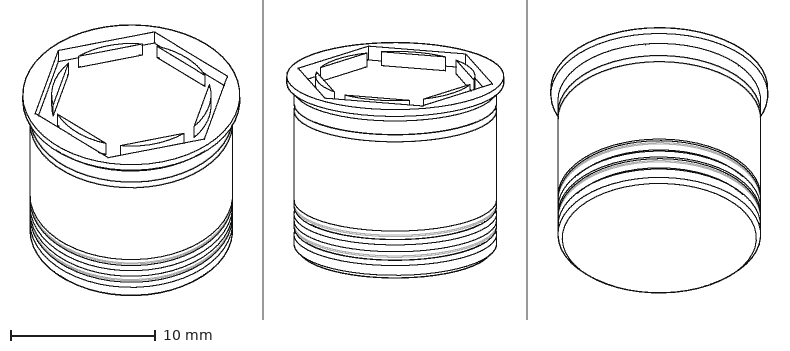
import cadquery as cq
import math

height = 12.5
flange_radius = 7.5
body_radius = 7.0
flange_rim = 0.5
flange_cone = flange_radius - body_radius
bottom_chamfer = 0.3

relief_radius = 0.25
relief_depth = 0.3
relief_z = 10.25

ring_height = 0.7
ring_thickness = 0.75
ring_round = 0.3
groove_flare = 0.3
first_ring_bottom = 1.3
ring_pitch = 1.5
ring_count = 2
ring_bottoms = [first_ring_bottom + i * ring_pitch for i in range(ring_count)]
ring_inner_radius = body_radius - ring_thickness

pocket_flats = 12.0
pocket_depth = 1.0
segment_radius = 5.5
segment_flats = 10.0
hex_sides = 6


def hexagon(across_flats, bottom, depth):
    """Hexagonal prism with two corners on the Y axis."""
    across_corners = across_flats / math.cos(math.pi / hex_sides)
    prism = cq.Workplane("XY").polygon(hex_sides, across_corners).extrude(depth)
    return prism.rotate((0, 0, 0), (0, 0, 1), 180 / hex_sides).translate((0, 0, bottom))


def make_blank():
    """Turned plug with a conical flange and a chamfered bottom edge."""
    profile = (
        cq.Workplane("XZ")
        .lineTo(body_radius - bottom_chamfer, 0)
        .lineTo(body_radius, bottom_chamfer)
        .lineTo(body_radius, height - flange_rim - flange_cone)
        .lineTo(flange_radius, height - flange_rim)
        .lineTo(flange_radius, height)
        .lineTo(0, height)
        .close()
    )
    return profile.revolve(360, (0, 0, 0), (0, 1, 0))


def make_relief():
    """Cutter for the relief groove, with straight lips and a half-round bottom."""
    arc_start = body_radius - relief_depth + relief_radius
    profile = (
        cq.Workplane("XZ")
        .moveTo(body_radius, relief_z - relief_radius)
        .lineTo(arc_start, relief_z - relief_radius)
        .threePointArc((body_radius - relief_depth, relief_z), (arc_start, relief_z + relief_radius))
        .lineTo(body_radius, relief_z + relief_radius)
        .close()
    )
    return profile.revolve(360, (0, 0, 0), (0, 1, 0))


def make_groove(bottom):
    """Cutter for one ring groove, flared at 45 degrees below the ring."""
    profile = (
        cq.Workplane("XZ")
        .moveTo(ring_inner_radius, bottom)
        .lineTo(body_radius - groove_flare, bottom)
        .lineTo(body_radius, bottom - groove_flare)
        .lineTo(body_radius, bottom + ring_height)
        .lineTo(ring_inner_radius, bottom + ring_height)
        .close()
    )
    return profile.revolve(360, (0, 0, 0), (0, 1, 0))


def make_segments():
    """Six circular segments left standing between a cylinder and a hexagon."""
    floor = height - pocket_depth
    disc = cq.Workplane("XY").workplane(offset=floor).circle(segment_radius).extrude(pocket_depth)
    return disc.cut(hexagon(segment_flats, floor, pocket_depth))


def make_plug():
    """Plug with its relief, ring grooves and hexagonal pocket."""
    plug = make_blank().cut(make_relief())
    for bottom in ring_bottoms:
        plug = plug.cut(make_groove(bottom))
    pocket = hexagon(pocket_flats, height - pocket_depth, pocket_depth)
    return plug.cut(pocket.cut(make_segments()))


def make_ring(bottom):
    """Sealing ring with rounded outer edges, flush with the plug."""
    ring = cq.Workplane("XY").circle(body_radius).extrude(ring_height)
    ring = ring.edges("%CIRCLE").fillet(ring_round)
    bore = cq.Workplane("XY").circle(ring_inner_radius).extrude(ring_height)
    return ring.cut(bore).translate((0, 0, bottom))


plug = make_plug()
rings = [make_ring(bottom) for bottom in ring_bottoms]

result = cq.Compound.makeCompound([plug.solids().val(), *[ring.solids().val() for ring in rings]])